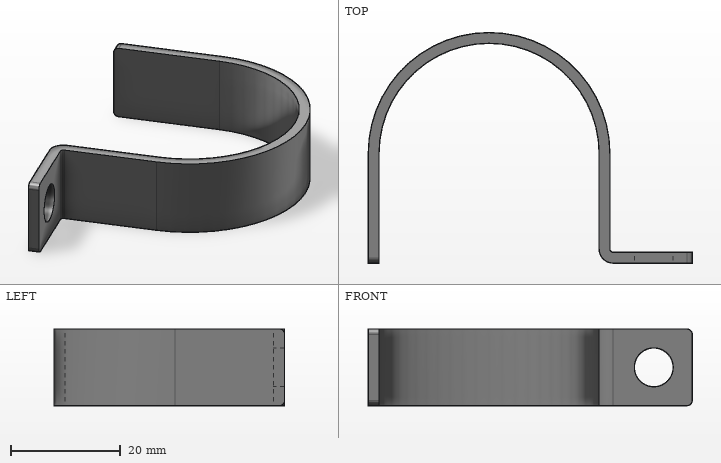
import cadquery as cq

overall_length = 59.0
strip_width = 14.0
thickness = 2.0
arc_outer_radius = 22.0
leg_length = 20.0
bend_inner_radius = 0.6
corner_radius = 1.0
hole_diameter = 7.0
hole_edge_distance = 7.0

arc_inner_radius = arc_outer_radius - thickness
bend_outer_radius = bend_inner_radius + thickness
tab_end_x = overall_length - arc_outer_radius
leg_end_y = -leg_length
bend_center_x = arc_inner_radius + bend_outer_radius
bend_center_y = leg_end_y + bend_outer_radius


def make_strip():
    """Half-round saddle with a free leg at -X and a leg bent into a tab at +X."""
    return (
        cq.Workplane("XY")
        .moveTo(-arc_outer_radius, leg_end_y)
        .lineTo(-arc_outer_radius, 0)
        .threePointArc((0, arc_outer_radius), (arc_outer_radius, 0))
        .lineTo(arc_outer_radius, bend_center_y)
        .radiusArc((bend_center_x, bend_center_y - bend_inner_radius), -bend_inner_radius)
        .lineTo(tab_end_x, leg_end_y + thickness)
        .lineTo(tab_end_x, leg_end_y)
        .lineTo(bend_center_x, leg_end_y)
        .radiusArc((arc_inner_radius, bend_center_y), bend_outer_radius)
        .lineTo(arc_inner_radius, 0)
        .threePointArc((0, arc_inner_radius), (-arc_inner_radius, 0))
        .lineTo(-arc_inner_radius, leg_end_y)
        .close()
        .extrude(strip_width / 2, both=True)
    )


def round_end_corners(strip):
    """Round the two corners of the tab end and of the free leg end."""
    strip = strip.faces(">X").edges("|Y").fillet(corner_radius)
    leg_end_x = thickness / 2 - arc_outer_radius
    leg_end_face = strip.faces(cq.selectors.NearestToPointSelector((leg_end_x, leg_end_y, 0)))
    return leg_end_face.edges("|X").fillet(corner_radius)


def make_hole_cutter():
    """Fastener hole through the tab, along Y."""
    hole_center_x = tab_end_x - hole_edge_distance
    return (
        cq.Workplane("XZ", origin=(hole_center_x, leg_end_y, 0))
        .circle(hole_diameter / 2)
        .extrude(thickness, both=True)
    )


result = round_end_corners(make_strip()).cut(make_hole_cutter())